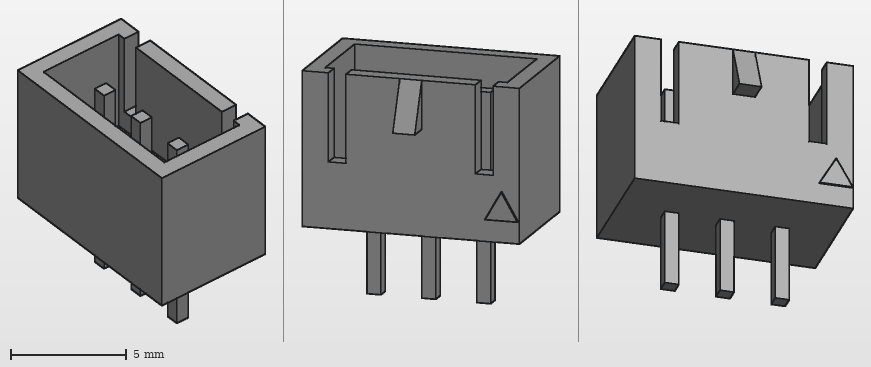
import cadquery as cq
import math


length = 9.9
width = 5.8
height = 7.0
wall = 0.8
floor = 2.0

pin_count = 3
pin_pitch = 2.5
pin_side = 0.64
pin_below = 3.5
pin_top = 6.0

slot_width = 0.8
slot_depth = 4.0
slot_end_distance = 1.2

latch_width = 1.0
latch_reach = 1.0
latch_height = 2.2

mark_side = 1.5
mark_thickness = 0.1
mark_base_z = 1.0
mark_edge_gap = 0.05

back_y = width / 2


def make_shroud():
    """Open-topped box with walls of equal thickness."""
    box = cq.Workplane("XY").rect(length, width).extrude(height)
    cavity = (
        cq.Workplane("XY", origin=(0, 0, floor))
        .rect(length - 2 * wall, width - 2 * wall)
        .extrude(height - floor)
    )
    return box.cut(cavity)


def make_slots():
    """Cutters for the two slots that open the +Y wall from its top edge."""
    slot_x = length / 2 - slot_end_distance - slot_width / 2
    return (
        cq.Workplane("XY", origin=(0, back_y - wall / 2, height - slot_depth))
        .pushPoints([(-slot_x, 0), (slot_x, 0)])
        .rect(slot_width, wall)
        .extrude(slot_depth)
    )


def make_pins():
    """Row of square pins running through the floor."""
    return (
        cq.Workplane("XY", origin=(0, 0, -pin_below))
        .rarray(pin_pitch, 1, pin_count, 1)
        .rect(pin_side, pin_side)
        .extrude(pin_below + pin_top)
    )


def make_latch():
    """Wedge that slopes outward from the rim to a flat ledge."""
    ledge_z = height - latch_height
    return (
        cq.Workplane("YZ")
        .moveTo(back_y, height)
        .lineTo(back_y + latch_reach, ledge_z)
        .lineTo(back_y, ledge_z)
        .close()
        .extrude(latch_width / 2, both=True)
    )


def make_mark():
    """Thin raised equilateral triangle, point up, beside the -X edge."""
    left_x = -length / 2 + mark_edge_gap
    apex_z = mark_base_z + mark_side * math.sin(math.radians(60))
    return (
        cq.Workplane("XZ", origin=(0, back_y, 0))
        .moveTo(left_x, mark_base_z)
        .lineTo(left_x + mark_side, mark_base_z)
        .lineTo(left_x + mark_side / 2, apex_z)
        .close()
        .extrude(-mark_thickness)
    )


result = make_shroud().cut(make_slots()).union(make_pins()).union(make_latch()).union(make_mark())